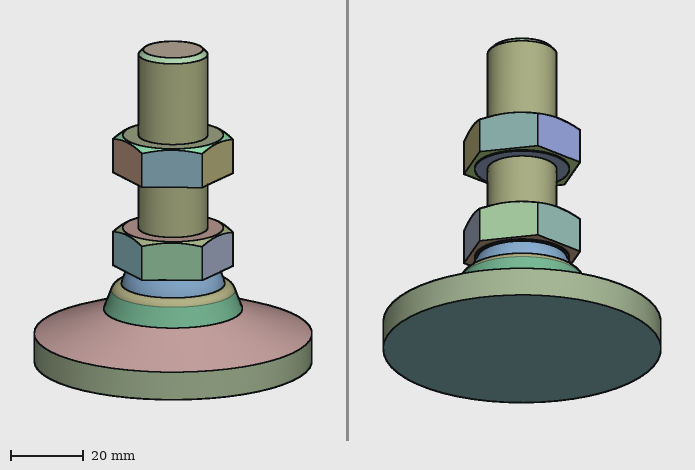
import cadquery as cq
import math

foot_radius = 38.09
foot_rim_height = 7.9
collar_base_radius = 19.0
collar_base_height = 14.9
collar_shoulder_radius = 17.0
collar_shoulder_height = 20.4
foot_height = 22.1

ball_radius = 14.5
ball_center_height = 19.2
socket_mouth_radius = math.sqrt(ball_radius**2 - (foot_height - ball_center_height) ** 2)

total_height = 88.9
stud_radius = 9.5
stud_chamfer = 1.3

hex_across_flats = 28.5
hex_corner_radius = hex_across_flats / math.sqrt(3)
hex_face_radius = 13.8
hex_chamfer_drop = 1.25
hex_height = 11.2
washer_face_radius = 13.0
washer_face_height = 0.4
stud_hex_bottom = 26.85
nut_bottom = 53.3


def ball():
    return cq.Workplane("XY").sphere(ball_radius).translate((0, 0, ball_center_height))


def hexagon(bottom):
    """Hexagon with corners on Y, a chamfered top and a round washer face below."""
    washer_face = cq.Workplane("XY").circle(washer_face_radius).extrude(washer_face_height)
    prism = (
        cq.Workplane("XY")
        .workplane(offset=washer_face_height)
        .polygon(6, 2 * hex_corner_radius)
        .extrude(hex_height - washer_face_height)
        .rotate((0, 0, 0), (0, 0, 1), 30)
    )
    envelope = (
        cq.Workplane("XZ")
        .polyline([
            (0, 0),
            (hex_corner_radius, 0),
            (hex_corner_radius, hex_height - hex_chamfer_drop),
            (hex_face_radius, hex_height),
            (0, hex_height),
        ])
        .close()
        .revolve(360, (0, 0, 0), (0, 1, 0))
    )
    return prism.intersect(envelope).union(washer_face).translate((0, 0, bottom))


def make_foot():
    """Conical foot with a rounded collar and a spherical socket."""
    body = (
        cq.Workplane("XZ")
        .lineTo(foot_radius, 0)
        .lineTo(foot_radius, foot_rim_height)
        .lineTo(collar_base_radius, collar_base_height)
        .lineTo(collar_shoulder_radius, collar_shoulder_height)
        .tangentArcPoint((socket_mouth_radius, foot_height), relative=False)
        .lineTo(0, foot_height)
        .close()
        .revolve(360, (0, 0, 0), (0, 1, 0))
    )
    return body.cut(ball())


def make_stud():
    """Ball, hexagon and round shank in one piece."""
    shank = (
        cq.Workplane("XY")
        .workplane(offset=stud_hex_bottom)
        .circle(stud_radius)
        .extrude(total_height - stud_hex_bottom)
        .faces(">Z")
        .chamfer(stud_chamfer)
    )
    ball_top_trim = (
        cq.Workplane("XY")
        .workplane(offset=stud_hex_bottom)
        .circle(ball_radius)
        .extrude(ball_radius)
    )
    return ball().cut(ball_top_trim).union(hexagon(stud_hex_bottom)).union(shank)


def make_nut():
    """Loose nut bored to fit the shank."""
    bore = (
        cq.Workplane("XY")
        .workplane(offset=nut_bottom)
        .circle(stud_radius)
        .extrude(hex_height)
    )
    return hexagon(nut_bottom).cut(bore)


foot = make_foot()
stud = make_stud()
nut = make_nut()

result = cq.Compound.makeCompound([foot.val(), stud.val(), nut.val()])